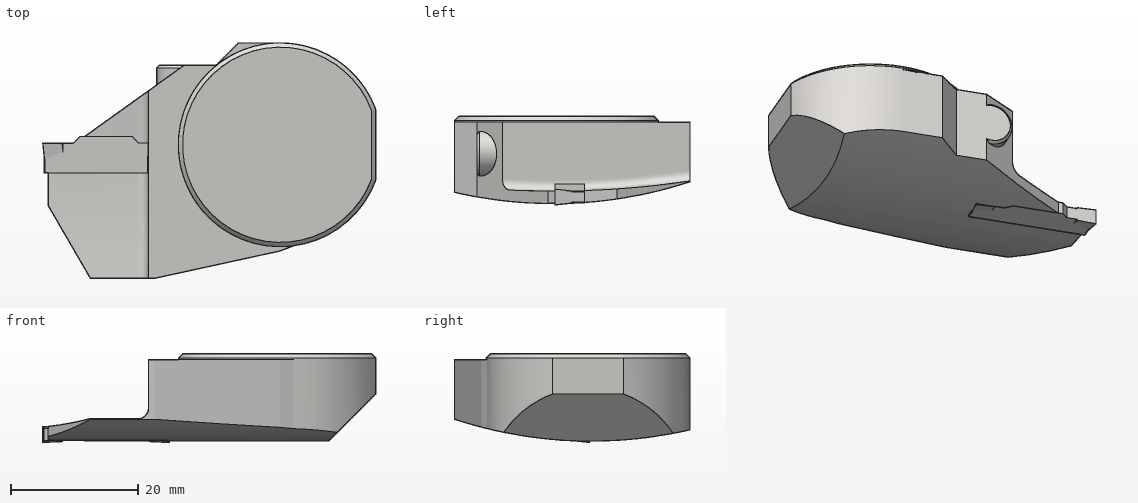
import cadquery as cq
import math


block_top = 12.8
head_top = 13.75
head_chamfer = 0.7

head_radius = 16.0
head_flat_x = 15.0
front_y = -21.0
wall_x = -20.75
blade_tip_x = -36.5
blade_side_y = -9.55
blade_corner_x = -29.85
front_edge_end_x = -19.7
front_taper_end = (0, -16.7)
front_tangent_x = 2.1
back_step_y = 12.5
back_step_x = -15.1
back_slope = 0.716
shoulder_start_x = -10.05
heel_height = 7.45

curve_y = 0.45
underside_radius = 68.6
blade_top_radius = 146.6
blade_thickness = 2.0
wall_fillet = 1.55

boss_diameter = 7.0
boss_left_x = -19.4
boss_z = 7.85
boss_length = 6.3
boss_chamfer = 0.4

insert_center_x = -27.4
insert_half_length = 9.95
insert_z = 1.05
plate_thickness = 1.95
insert_front_y = -4.4
cutting_y = 0.25
ridge_y = 1.3
ridge_half_length = 4.1
end_relief = 0.2
end_relief_y = -1.85
edge_chamfer = 0.15
pocket_roof = 3.1

tooth_height = 0.29
tooth_length = 2.95
tooth_tip_y = -2.4
tooth_root_y = -1.25
tooth_back_step = 0.25

margin = 5.25


def back_line_y(x):
    """Y of the sloping back edge at a given X."""
    return back_step_y + back_slope * (x - back_step_x)


def space_above_arc(radius, lowest_z, x_start, x_end):
    """Space above a concave-up arc, swept along X."""
    half_width = head_radius - front_y
    edge_z = lowest_z + radius - math.sqrt(radius**2 - half_width**2)
    ceiling = head_top + margin
    return (
        cq.Workplane("YZ", origin=(x_start, 0, 0))
        .moveTo(curve_y - half_width, ceiling)
        .lineTo(curve_y - half_width, edge_z)
        .threePointArc((curve_y, lowest_z), (curve_y + half_width, edge_z))
        .lineTo(curve_y + half_width, ceiling)
        .close()
        .extrude(x_end - x_start)
    )


def round_head():
    """Round column with a flat on +X and a chamfered top rim."""
    column = cq.Workplane("XY").circle(head_radius).extrude(head_top)
    keep_width = head_flat_x + head_radius
    keep = cq.Workplane("XY").box(keep_width, 2 * head_radius, head_top, centered=(False, True, False))
    column = column.intersect(keep.translate((-head_radius, 0, 0)))
    return column.faces(">Z").edges().chamfer(head_chamfer)


def block():
    """Block and blade outline beside the head, at full height."""
    shoulder_end_x = shoulder_start_x + head_radius - back_step_y
    front_tangent_y = -math.sqrt(head_radius**2 - front_tangent_x**2)
    tip_inner_x = insert_center_x - ridge_half_length - (ridge_y - cutting_y)
    outline = [
        (front_tangent_x, front_tangent_y),
        front_taper_end,
        (front_edge_end_x, front_y),
        (blade_corner_x, front_y),
        (blade_tip_x, blade_side_y),
        (blade_tip_x, tooth_tip_y),
        (tip_inner_x, back_line_y(tip_inner_x)),
        (back_step_x, back_step_y),
        (shoulder_start_x, back_step_y),
        (shoulder_end_x, head_radius),
        (0, head_radius),
    ]
    return cq.Workplane("XY").polyline(outline).close().extrude(block_top)


def blade_clearance():
    """Space above the blade, rounded where it meets the block wall."""
    space = space_above_arc(blade_top_radius, blade_thickness, blade_tip_x - margin, wall_x)
    return space.faces(">X").edges("<Z").fillet(wall_fillet)


def heel_cut():
    """45 degree cut under the +X end."""
    size = heel_height + margin
    return (
        cq.Workplane("XZ")
        .moveTo(head_flat_x - size, heel_height - size)
        .lineTo(head_flat_x + margin, heel_height + margin)
        .lineTo(head_flat_x + margin, heel_height - size)
        .close()
        .extrude(head_radius + margin, both=True)
    )


def boss():
    """Round boss ending flush with the step at the back."""
    center = (boss_left_x + boss_diameter / 2, back_step_y, boss_z)
    return (
        cq.Workplane("XZ", origin=center)
        .circle(boss_diameter / 2)
        .extrude(boss_length)
        .faces(">Y")
        .chamfer(boss_chamfer)
    )


def mirrored_ends(points):
    """Points of the -X half followed by their mirror images about the insert's middle."""
    return points + [(2 * insert_center_x - x, y) for x, y in reversed(points)]


def insert_prism(bottom, top):
    """Insert plan shape between two heights."""
    tip_x = insert_center_x - insert_half_length
    ridge_x = insert_center_x - ridge_half_length
    half_outline = [
        (tip_x + end_relief, insert_front_y),
        (tip_x + end_relief, end_relief_y),
        (tip_x, cutting_y),
        (ridge_x - (ridge_y - cutting_y), cutting_y),
        (ridge_x, ridge_y),
    ]
    outline = mirrored_ends(half_outline)
    return cq.Workplane("XY", origin=(0, 0, bottom)).polyline(outline).close().extrude(top - bottom)


def tooth():
    """Tooth on the -X end, thickening above and below away from its sloping root line."""
    tip_x = insert_center_x - insert_half_length
    root_dx = tooth_length - end_relief
    root_dy = tooth_root_y - tooth_tip_y
    root_length = math.hypot(root_dx, root_dy)
    tip_distance = ((cutting_y - tooth_tip_y) * root_dx + end_relief * root_dy) / root_length
    half_plate = plate_thickness / 2
    half_tip = half_plate + tooth_height
    root_plane = cq.Plane(
        origin=(tip_x + end_relief, tooth_tip_y, insert_z),
        xDir=(-root_dy, root_dx, 0),
        normal=(root_dx, root_dy, 0),
    )
    flare = (
        cq.Workplane(root_plane)
        .polyline([(0, -half_plate), (tip_distance, -half_tip), (tip_distance, half_tip), (0, half_plate)])
        .close()
        .extrude(root_length + margin, both=True)
    )
    back_x = tip_x + tooth_length
    ramp = (
        cq.Workplane("XZ")
        .polyline([
            (tip_x, insert_z - half_tip),
            (back_x, insert_z - half_tip),
            (back_x + tooth_back_step, insert_z - half_plate),
            (back_x + tooth_back_step, insert_z + half_plate),
            (back_x, insert_z + half_tip),
            (tip_x, insert_z + half_tip),
        ])
        .close()
        .extrude(head_radius, both=True)
    )
    plan = insert_prism(insert_z - half_tip, insert_z + half_tip)
    return flare.intersect(ramp).intersect(plan)


def make_holder():
    """Block, blade, head and boss, with the through pocket for the insert."""
    x_end = head_flat_x + margin
    body = block().union(round_head())
    body = body.intersect(space_above_arc(underside_radius, 0, blade_tip_x - margin, x_end))
    body = body.cut(heel_cut()).cut(blade_clearance())
    return body.union(boss()).cut(insert_prism(-margin, pocket_roof))


def make_insert():
    """Double-ended insert with a chamfered edge along each end of its plate."""
    half_plate = plate_thickness / 2
    plate = insert_prism(insert_z - half_plate, insert_z + half_plate)
    plate = plate.faces("<X or >X").edges("#Z").chamfer(edge_chamfer)
    left_tooth = tooth()
    right_tooth = left_tooth.mirror("YZ", (insert_center_x, 0, 0))
    return plate.union(left_tooth).union(right_tooth)


holder = make_holder()
cutting_insert = make_insert()
result = cq.Compound.makeCompound([holder.val(), cutting_insert.val()])